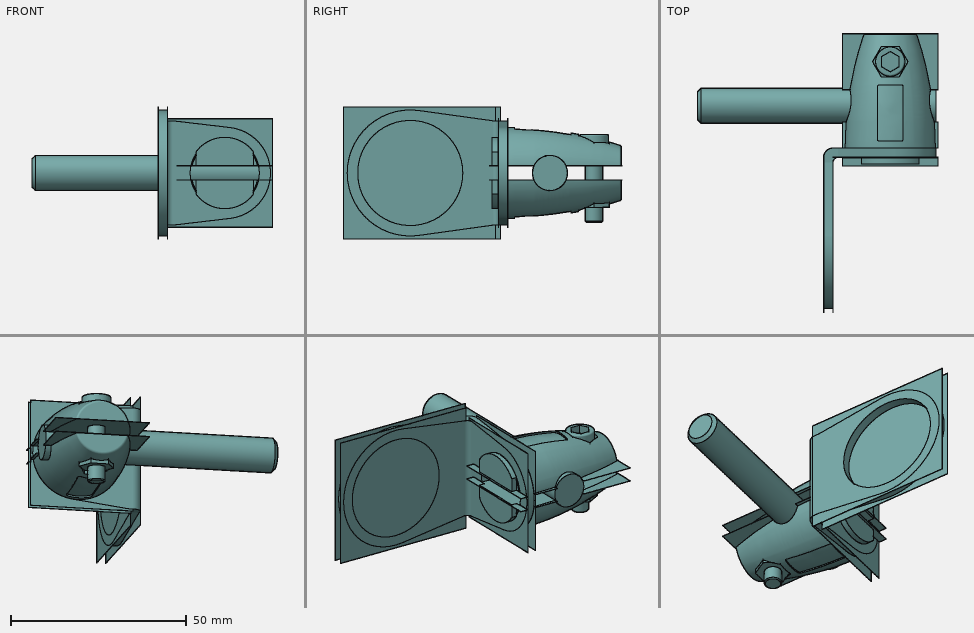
import cadquery as cq
import math


base_radius = 13.0
top_radius = 7.8
barrel_height = 32.35
rim_fillet = 0.6
half_gap = 2.0

neck_radius = 9.5
lip_radius = 10.2
lip_half_width = 8.2
lip_bottom = -4.5
lip_gap = 0.15

label_width = 7.4
label_length = 16.05
label_start = 1.9
label_depth = 0.5
label_corner = 0.6

rod_diameter = 10.0
rod_y = 12.0
rod_start = -55.0
rod_chamfer = 1.0

screw_y = 24.55
shank_diameter = 5.0
screw_end = -14.1
screw_end_chamfer = 0.3
head_diameter = 8.35
head_height = 5.0
head_fillet = 0.5
socket_width = 5.0
socket_depth = 2.4
hex_width = 8.75
hex_floor = 5.95
nut_height = 3.8

plate = 2.7
arm_outer_x = -19.0
bend_half_width = 14.9
outer_bend = 2.7
inner_bend = 1.5
lug_radius = base_radius
lug_hole_radius = 9.85
arm_radius = 17.95
arm_centre_y = -27.8
arm_opening = 29.95

sheet = 0.1
overhang = 0.6
arm_sheet_half_width = 18.8
arm_sheet_bottom = -46.9
housing_sheet_half_width = 13.7
housing_sheet_top = 32.6

arm_inner_x = arm_outer_x + plate
hex_points = hex_width / math.cos(math.radians(30))
socket_points = socket_width / math.cos(math.radians(30))


def box(x, y, z):
    """Box given by its (start, end) pairs along X, Y and Z."""
    size = (x[1] - x[0], y[1] - y[0], z[1] - z[0])
    return cq.Workplane("XY").box(*size, centered=False).translate((x[0], y[0], z[0]))


def barrel_radius(y):
    """Radius of the barrel at height y: an arc that leaves the base parallel to the axis."""
    shrink = base_radius - top_radius
    arc_radius = (barrel_height**2 + shrink**2) / (2 * shrink)
    return base_radius - arc_radius + math.sqrt(arc_radius**2 - y**2)


def barrel(inset=0.0):
    """Solid barrel about the Y axis, optionally reduced all round by an inset."""
    middle = barrel_height / 2
    return (
        cq.Workplane("XY")
        .lineTo(base_radius - inset, 0)
        .threePointArc((barrel_radius(middle) - inset, middle), (top_radius - inset, barrel_height))
        .lineTo(0, barrel_height)
        .close()
        .revolve(360, (0, 0, 0), (0, 1, 0))
    )


def along_y(radius, start, end):
    """Cylinder on the hub axis between two heights."""
    return cq.Workplane("XZ", origin=(0, start, 0)).circle(radius).extrude(start - end)


def spigot():
    lip_top = -plate - lip_gap
    neck = along_y(neck_radius, lip_top, 0)
    lip = along_y(lip_radius, lip_bottom, lip_top)
    flats = box((-lip_half_width, lip_half_width), (lip_bottom, 0), (-lip_radius, lip_radius))
    return neck.union(lip.intersect(flats))


def label_recess():
    """Recess with a floor that follows the barrel."""
    outline = (
        cq.Workplane("XY", origin=(0, label_start + label_length / 2, 0))
        .rect(label_width, label_length)
        .extrude(base_radius)
        .edges("|Z")
        .fillet(label_corner)
    )
    return outline.cut(barrel(label_depth))


def split_sheet():
    """Sheet in the split face, interrupted where it would cross the bracket lug."""
    width = (-housing_sheet_half_width, housing_sheet_half_width)
    depth = (half_gap, half_gap + sheet)
    above = box(width, (0, housing_sheet_top), depth)
    below = box(width, (lip_bottom - overhang, -plate - sheet), depth)
    return above.union(below)


def upper_half():
    """One housing half; the other is the same part turned half a turn about the hub axis."""
    body = barrel().faces(">Y").edges().fillet(rim_fillet).union(spigot())
    upper_space = box((-base_radius, base_radius), (lip_bottom, barrel_height), (half_gap, base_radius))
    rod_hole = (
        cq.Workplane("YZ", origin=(0, rod_y, 0))
        .circle(rod_diameter / 2)
        .extrude(housing_sheet_half_width, both=True)
    )
    screw_hole = cq.Workplane("XY", origin=(0, screw_y, 0)).circle(shank_diameter / 2).extrude(base_radius)
    hex_pocket = (
        cq.Workplane("XY", origin=(0, screw_y, hex_floor)).polygon(6, hex_points).extrude(base_radius)
    )
    half = body.intersect(upper_space).union(split_sheet())
    return half.cut(label_recess()).cut(rod_hole).cut(screw_hole).cut(hex_pocket)


def rod():
    length = base_radius - rod_start
    return (
        cq.Workplane("YZ", origin=(rod_start, rod_y, 0))
        .circle(rod_diameter / 2)
        .extrude(length)
        .faces("<X")
        .chamfer(rod_chamfer)
    )


def screw():
    head = (
        cq.Workplane("XY", origin=(0, screw_y, hex_floor))
        .circle(head_diameter / 2)
        .extrude(head_height)
        .faces(">Z")
        .edges()
        .fillet(head_fillet)
    )
    shank = (
        cq.Workplane("XY", origin=(0, screw_y, screw_end))
        .circle(shank_diameter / 2)
        .extrude(hex_floor - screw_end)
        .faces("<Z")
        .chamfer(screw_end_chamfer)
    )
    socket = (
        cq.Workplane("XY", origin=(0, screw_y, hex_floor + head_height))
        .polygon(6, socket_points)
        .extrude(-socket_depth)
        .rotate((0, screw_y, 0), (0, screw_y, 1), 90)
    )
    return head.union(shank).cut(socket)


def nut():
    return (
        cq.Workplane("XY", origin=(0, screw_y, -hex_floor))
        .polygon(6, hex_points)
        .circle(shank_diameter / 2)
        .extrude(-nut_height)
    )


def tapered_plate(workplane, start, centre, radius):
    """Outline from a straight edge at start, along tangents, to a round end about centre."""
    direction = math.copysign(1, centre - start)
    reach = abs(centre - start)
    touch = math.atan2(bend_half_width, -reach) - math.acos(radius / math.hypot(reach, bend_half_width))
    touch_along = centre + direction * radius * math.cos(touch)
    touch_across = radius * math.sin(touch)
    return (
        workplane.moveTo(start, -bend_half_width)
        .lineTo(touch_along, -touch_across)
        .threePointArc((centre + direction * radius, 0), (touch_along, touch_across))
        .lineTo(start, bend_half_width)
        .close()
    )


def bracket():
    strip = (
        cq.Workplane("XY", origin=(0, 0, -arm_radius))
        .moveTo(arm_outer_x, arm_centre_y - arm_radius)
        .lineTo(arm_outer_x, -outer_bend)
        .radiusArc((arm_outer_x + outer_bend, 0), outer_bend)
        .lineTo(lug_radius, 0)
        .lineTo(lug_radius, -plate)
        .lineTo(arm_inner_x + inner_bend, -plate)
        .radiusArc((arm_inner_x, -plate - inner_bend), -inner_bend)
        .lineTo(arm_inner_x, arm_centre_y - arm_radius)
        .close()
        .extrude(2 * arm_radius)
    )
    bend_x = arm_inner_x + inner_bend
    bend_y = -plate - inner_bend
    bend = box((arm_outer_x, bend_x), (bend_y, 0), (-bend_half_width, bend_half_width))
    lug = tapered_plate(cq.Workplane("XZ"), bend_x, 0, lug_radius).extrude(plate)
    arm = tapered_plate(
        cq.Workplane("YZ", origin=(arm_outer_x, 0, 0)), bend_y, arm_centre_y, arm_radius
    ).extrude(plate)
    body = strip.intersect(bend.union(lug).union(arm))

    lug_x = (arm_inner_x, lug_radius + overhang)
    lug_z = (-bend_half_width - overhang, bend_half_width + overhang)
    for top in (0, -plate + sheet):
        body = body.union(box(lug_x, (top - sheet, top), lug_z))

    arm_z = (-arm_sheet_half_width, arm_sheet_half_width)
    outer_sheet = box(
        (arm_outer_x, arm_outer_x + sheet), (arm_sheet_bottom, -outer_bend + overhang), arm_z
    )
    inner_sheet = box((arm_inner_x - sheet, arm_inner_x), (arm_sheet_bottom, bend_y + overhang), arm_z)
    opening = (
        cq.Workplane("YZ", origin=(arm_outer_x, arm_centre_y, 0)).circle(arm_opening / 2).extrude(plate)
    )
    hub_hole = along_y(lug_hole_radius, -plate, 0)
    return body.union(outer_sheet).cut(opening).union(inner_sheet).cut(hub_hole)


housing_halves = [upper_half().rotate((0, 0, 0), (0, 1, 0), turn) for turn in (0, 180)]

result = cq.Compound.makeCompound(
    [half.val() for half in housing_halves] + [rod().val(), screw().val(), nut().val(), bracket().val()]
)